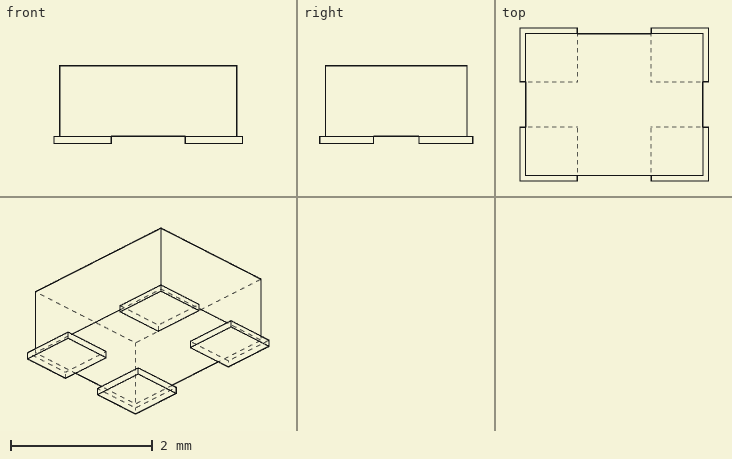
import cadquery as cq

footprint_x = 2.66
footprint_y = 2.16

body_x = 2.5
body_y = 2.0
body_height = 1.0

pad_x = 0.81
pad_y = 0.76
pad_thickness = 0.1

pad_center_x = (footprint_x - pad_x) / 2
pad_center_y = (footprint_y - pad_y) / 2


def make_body():
    """Plain rectangular block resting on the pads."""
    return (
        cq.Workplane("XY")
        .workplane(offset=pad_thickness)
        .rect(body_x, body_y)
        .extrude(body_height)
    )


def make_pad(center_x, center_y):
    """Flat rectangular pad with its underside at Z = 0."""
    return (
        cq.Workplane("XY")
        .center(center_x, center_y)
        .rect(pad_x, pad_y)
        .extrude(pad_thickness)
    )


body = make_body()

pads = [
    make_pad(side_x * pad_center_x, side_y * pad_center_y)
    for side_x in (-1, 1)
    for side_y in (-1, 1)
]

result = cq.Compound.makeCompound([body.val(), *[pad.val() for pad in pads]])